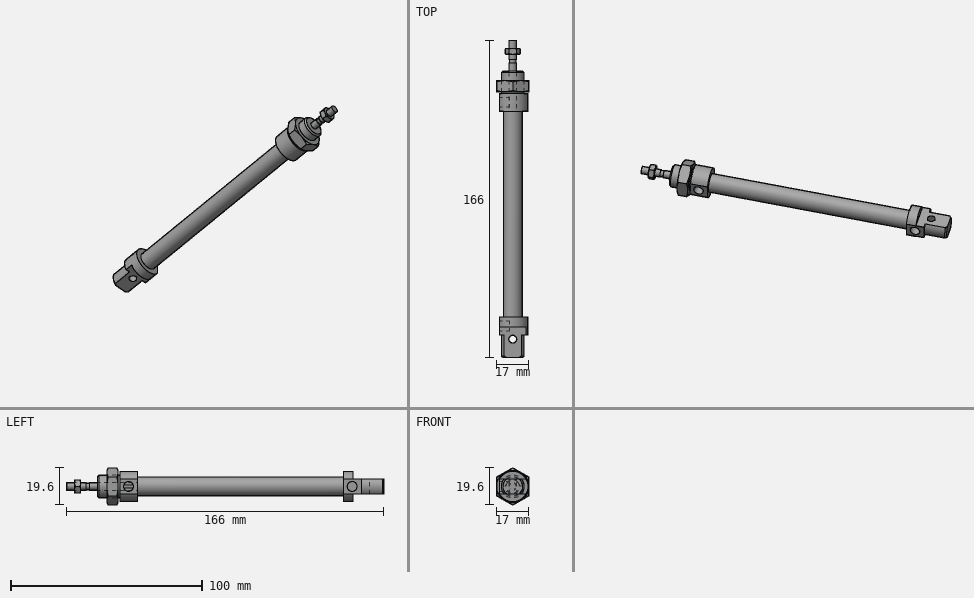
import cadquery as cq
import math

total_length = 166.0

rod_dia = 4.0
neck_dia = 3.5
neck_start = 10.1
neck_length = 1.8

rod_nut_flats = 7.0
rod_nut_start = 4.2
rod_nut_length = 3.2
rod_nut_chamfer = 0.5

mount_nut_flats = 17.0
mount_nut_start = 21.0
mount_nut_length = 5.8
mount_nut_chamfer = 0.7

collar_dia = 12.0
collar_start = 16.1
end_chamfer = 0.8
cap_dia = 16.0
front_cap_start = 27.9
front_cap_end = 37.2
tube_dia = 10.0
rear_cap_start = 144.8
rear_cap_end = 149.9
rear_block_end = 154.2
clevis_thickness = 8.0
pivot_dia = 4.0
pivot_station = 156.4

port_flat_x = -7.0
port_dia = 5.1
port_depth = 5.1
front_port_station = 32.4
rear_port_station = 149.4

rod_end = front_cap_end


def plane_at(station):
    """Plane across the axis at a station, extruding toward the rear (-Y)."""
    return cq.Plane(origin=(0, total_length - station, 0), xDir=(1, 0, 0), normal=(0, -1, 0))


def cylinder(diameter, start, end):
    return cq.Workplane(plane_at(start)).circle(diameter / 2).extrude(end - start)


def make_hex_nut(across_flats, bore_dia, start, length, chamfer, corner_angle):
    """Hex nut with corners rounded off by a conical chamfer at both ends."""
    corner_dia = across_flats / math.cos(math.pi / 6)
    blank = (
        cq.Workplane(plane_at(start))
        .polygon(6, corner_dia)
        .extrude(length)
        .rotate((0, 0, 0), (0, 1, 0), corner_angle)
    )
    envelope = cylinder(corner_dia, start, start + length).edges("%CIRCLE").chamfer(
        chamfer, (corner_dia - across_flats) / 2
    )
    return blank.intersect(envelope).cut(cylinder(bore_dia, start, start + length))


def make_rod():
    rod = cylinder(rod_dia, 0, rod_end)
    neck_end = neck_start + neck_length
    groove = cylinder(rod_dia, neck_start, neck_end).cut(cylinder(neck_dia, neck_start, neck_end))
    return rod.cut(groove)


def make_port_cutter(station):
    port_plane = cq.Plane(origin=(port_flat_x, total_length - station, 0), xDir=(0, 1, 0), normal=(1, 0, 0))
    return cq.Workplane(port_plane).circle(port_dia / 2).extrude(port_depth)


def make_housing():
    collar = cylinder(collar_dia, collar_start, front_cap_start).faces(">Y").chamfer(end_chamfer)
    front_cap = cylinder(cap_dia, front_cap_start, front_cap_end)
    tube = cylinder(tube_dia, front_cap_end, rear_cap_start)
    rear_cap = cylinder(cap_dia, rear_cap_start, rear_cap_end)

    rear_block = cylinder(cap_dia, rear_cap_end, rear_block_end)
    tongue = cylinder(collar_dia, rear_block_end, total_length).faces("<Y").chamfer(end_chamfer)
    slab_length = total_length - rear_cap_end
    slab = cq.Workplane(plane_at(rear_cap_end)).rect(cap_dia, clevis_thickness).extrude(slab_length)
    clevis = rear_block.union(tongue).intersect(slab)

    housing = collar.union(front_cap).union(tube).union(rear_cap).union(clevis)

    flat_depth = cap_dia / 2 + port_flat_x
    flat_center_x = port_flat_x - flat_depth / 2
    flat_sketch = cq.Workplane(plane_at(0)).center(flat_center_x, 0).rect(flat_depth, cap_dia)
    flat_cutter = flat_sketch.extrude(total_length)
    housing = housing.cut(flat_cutter)

    for station in (front_port_station, rear_port_station):
        housing = housing.cut(make_port_cutter(station))

    pivot_hole = (
        cq.Workplane("XY")
        .center(0, total_length - pivot_station)
        .circle(pivot_dia / 2)
        .extrude(clevis_thickness, both=True)
    )
    rod_bore = cylinder(rod_dia, collar_start, rod_end)
    return housing.cut(pivot_hole).cut(rod_bore)


rod = make_rod()
rod_nut = make_hex_nut(rod_nut_flats, rod_dia, rod_nut_start, rod_nut_length, rod_nut_chamfer, 0)
mount_nut = make_hex_nut(
    mount_nut_flats, collar_dia, mount_nut_start, mount_nut_length, mount_nut_chamfer, 90
)
housing = make_housing()

result = cq.Compound.makeCompound([housing.val(), rod.val(), rod_nut.val(), mount_nut.val()])